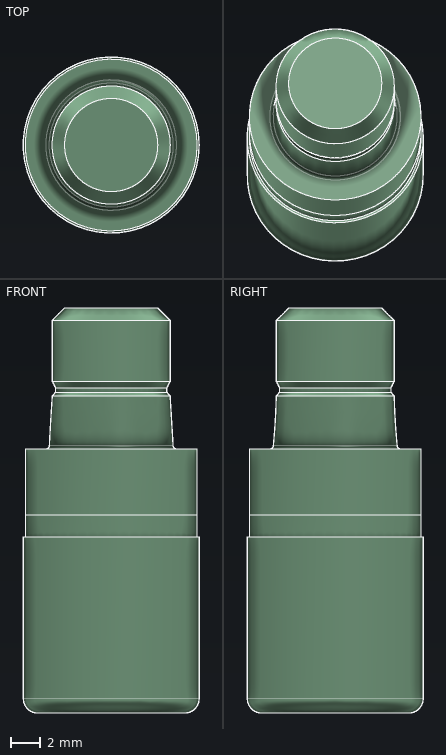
import cadquery as cq


foot_radius = 6.0
foot_height = 12.0
foot_rounding = 1.0
shoulder_radius = 5.85
collar_height = 1.5
joint_z = foot_height + collar_height

shoulder_z = 18.0
head_radius = 4.025
neck_base_radius = 4.225
neck_top_radius = head_radius
neck_fillet = 0.225
neck_top_z = 21.6
groove_radius = 3.8
groove_lower_flank = 0.25
groove_floor_width = 0.3
head_base_z = 22.6
head_chamfer = 0.85
overall_height = 27.6

groove_bottom_z = neck_top_z + groove_lower_flank
groove_top_z = groove_bottom_z + groove_floor_width


def make_base():
    """Foot with a rounded bottom edge, stepped in at the collar."""
    foot = cq.Workplane("XY").circle(foot_radius).extrude(foot_height)
    foot = foot.faces("<Z").edges().fillet(foot_rounding)
    return foot.faces(">Z").workplane().circle(shoulder_radius).extrude(collar_height)


def make_plunger():
    """Half profile in the XZ plane, revolved about Z."""
    fillet_end = (neck_base_radius, shoulder_z + neck_fillet)
    profile = (
        cq.Workplane("XZ")
        .moveTo(0, joint_z)
        .lineTo(shoulder_radius, joint_z)
        .lineTo(shoulder_radius, shoulder_z)
        .lineTo(neck_base_radius + neck_fillet, shoulder_z)
        .radiusArc(fillet_end, neck_fillet)
        .lineTo(neck_top_radius, neck_top_z)
        .lineTo(groove_radius, groove_bottom_z)
        .lineTo(groove_radius, groove_top_z)
        .lineTo(head_radius, head_base_z)
        .lineTo(head_radius, overall_height - head_chamfer)
        .lineTo(head_radius - head_chamfer, overall_height)
        .lineTo(0, overall_height)
        .close()
    )
    return profile.revolve(360, (0, 0, 0), (0, 1, 0))


base = make_base()
plunger = make_plunger()

result = cq.Compound.makeCompound([base.val(), plunger.val()])